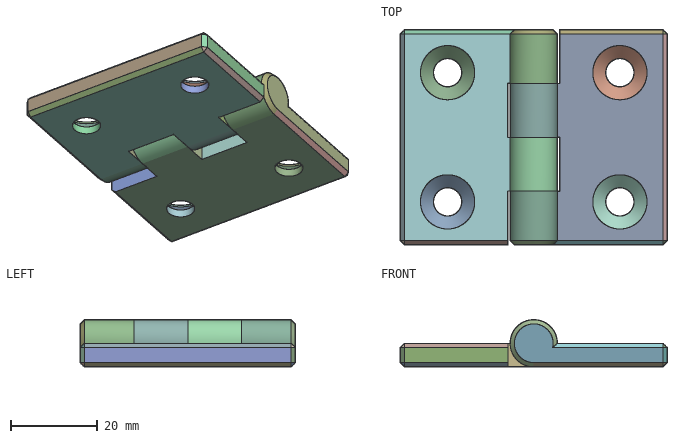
import cadquery as cq

leaf_reach = 31.0
hinge_length = 50.0
knuckle_radius = 5.5
knuckle_gap = 0.5
knuckles_per_leaf = 2
edge_chamfer = 1.0

screw_hole_diameter = 6.5
screw_head_diameter = 12.6
screw_head_rim_depth = 0.5
countersink_angle = 90.0
screw_offset_from_axis = 20.0
screw_spacing = 30.0

leaf_thickness = knuckle_radius
knuckle_length = hinge_length / (2 * knuckles_per_leaf)
notch_depth = knuckle_radius + knuckle_gap
hinge_end = hinge_length / 2


def make_plate():
    """Flat plate from the outer edge to the hinge axis, chamfered on its three outer sides."""
    plate = cq.Workplane("XY").box(leaf_reach, hinge_length, leaf_thickness, centered=(False, True, False))
    plate = plate.translate((-leaf_reach, 0, 0))
    return plate.faces("<X or <Y or >Y").edges("not(>X)").chamfer(edge_chamfer)


def make_barrel():
    """Full-length barrel around the hinge axis, chamfered at both ends."""
    barrel = cq.Workplane("XZ").center(0, knuckle_radius).circle(knuckle_radius)
    barrel = barrel.extrude(hinge_end, both=True)
    return barrel.faces("<Y or >Y").chamfer(edge_chamfer)


def make_notch(start_y):
    """Space for one knuckle of the opposite leaf, starting at start_y and running toward +Y."""
    width = notch_depth + knuckle_radius
    height = 2 * knuckle_radius
    notch = cq.Workplane("XY").box(width, knuckle_length, height, centered=False)
    return notch.translate((-notch_depth, start_y, 0))


def add_screw_holes(leaf):
    """Drill the countersunk screw holes, each with a shallow rim at the top surface."""
    cone_top = leaf_thickness - screw_head_rim_depth
    centers = [(-screw_offset_from_axis, side * screw_spacing / 2) for side in (-1, 1)]
    rims = cq.Workplane("XY").workplane(offset=cone_top).pushPoints(centers)
    rims = rims.circle(screw_head_diameter / 2).extrude(screw_head_rim_depth)
    leaf = leaf.cut(rims)
    drilling_plane = leaf.copyWorkplane(cq.Workplane("XY", origin=(0, 0, cone_top)))
    return drilling_plane.pushPoints(centers).cskHole(
        screw_hole_diameter, screw_head_diameter, countersink_angle
    )


def make_leaf():
    """Leaf on the -X side; its knuckles alternate with notches, a notch at the -Y end."""
    leaf = make_plate().union(make_barrel())
    for index in range(knuckles_per_leaf):
        leaf = leaf.cut(make_notch(-hinge_end + 2 * index * knuckle_length))
    return add_screw_holes(leaf)


leaves = [make_leaf().rotate((0, 0, 0), (0, 0, 1), turn) for turn in (0, 180)]

result = cq.Compound.makeCompound([leaf.val() for leaf in leaves])